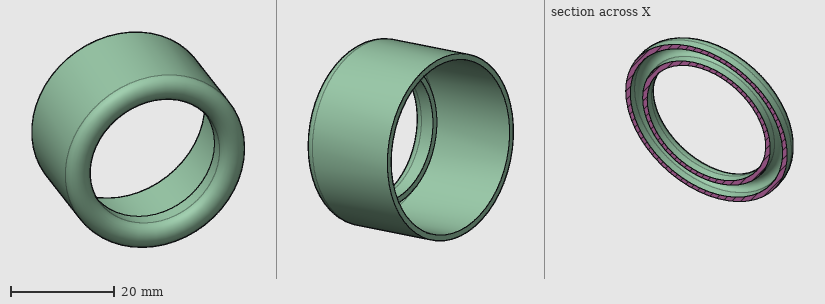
import cadquery as cq

length = 22.0
outer_diameter = 36.8
wall = 1.15
mouth_diameter = 26.8
lip_length = 3.0

outer_radius = outer_diameter / 2
bore_radius = outer_radius - wall
mouth_radius = mouth_diameter / 2
lip_radius = mouth_radius + wall

roll_outer_radius = (outer_radius - mouth_radius) / 2
roll_inner_radius = roll_outer_radius - wall
roll_center_radius = mouth_radius + roll_outer_radius
roll_start = length - roll_outer_radius
lip_end = roll_start - lip_length


def rolled_sleeve():
    """Revolve the hooked wall section about the X axis."""
    section = (
        cq.Workplane("XY")
        .moveTo(0, bore_radius)
        .lineTo(0, outer_radius)
        .lineTo(roll_start, outer_radius)
        .threePointArc((length, roll_center_radius), (roll_start, mouth_radius))
        .lineTo(lip_end, mouth_radius)
        .lineTo(lip_end, lip_radius)
        .lineTo(roll_start, lip_radius)
        .threePointArc(
            (roll_start + roll_inner_radius, roll_center_radius),
            (roll_start, bore_radius),
        )
        .close()
    )
    return section.revolve(360, (0, 0, 0), (1, 0, 0))


result = rolled_sleeve()